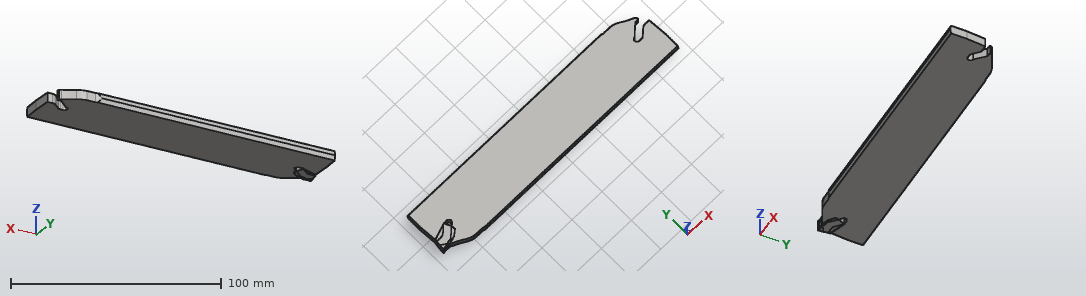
import cadquery as cq

length = 150.7
width = 30.58
blade_thickness = 5.0
insert_thickness = 6.0
ridge_depth = 0.5

end_x = length / 2
half_width = width / 2
half_blade = blade_thickness / 2
half_insert = insert_thickness / 2
margin = 1.0

end_taper_start_y = 6.5
lower_seat = (-74.55, -3.95)
lower_seat_arc_start = (-71.9, -3.95)
slot_upper_flank_top = (-69.6, -3.0)
slot_upper_flank_end = (-66.7, -0.3)
slot_floor = (-65.4, 0.1)
slot_end_radius = 1.5
slot_end_centre = (-64.0, -1.35)
jaw_seat_corner = (-68.95, -7.75)
jaw_inner_tip = (-71.4, -8.0)
jaw_nose_start = (-71.0, -9.1)
jaw_nose_end = (-70.2, -9.7)
jaw_bulge = (-67.1, -11.05)
jaw_inflection = (-63.9, -12.85)
jaw_flat_y = -14.45
jaw_flat_start_x = -59.0
jaw_flat_end_x = -54.3
runout_middle = (-52.9, -14.85)
runout_end_x = -51.0

insert_front_top = (-74.7, -2.95)
insert_back_top = (-66.1, 0.0)
insert_back_upper = (-64.4, -3.3)
insert_back_lower = (-64.2, -5.7)
insert_back_bottom = (-67.0, -7.9)
insert_heel = (-71.0, -9.2)
cutting_edge_y = -9.3
shoulder_start = (-72.4, -9.0)
rake_middle = (-73.9, -9.0)
corner_facet_front = (-75.1, -6.4)
corner_facet_back = (-71.0, -9.1)
body_relief = 0.15

chip_groove_width = 4.0
chip_groove_start_x = -74.9
chip_groove_end_x = -72.6
chip_groove_wall_depth = 0.3
chip_groove_depth = 0.5
chip_notch_radius = 0.8
chip_notch_end_x = -71.5


def half_turn(point):
    return (-point[0], -point[1])


def trace_blade_end(outline, place):
    """Trace the slotted end from the end face to the run-out on the long edge."""
    slot_end_top = (slot_end_centre[0], slot_end_centre[1] + slot_end_radius)
    slot_end_side = (slot_end_centre[0] + slot_end_radius, slot_end_centre[1])
    slot_end_bottom = (slot_end_centre[0], slot_end_centre[1] - slot_end_radius)
    return (
        outline
        .lineTo(*place((-end_x, end_taper_start_y)))
        .lineTo(*place(lower_seat))
        .lineTo(*place(lower_seat_arc_start))
        .tangentArcPoint(place(slot_upper_flank_top), relative=False)
        .lineTo(*place(slot_upper_flank_end))
        .tangentArcPoint(place(slot_floor), relative=False)
        .lineTo(*place(slot_end_top))
        .threePointArc(place(slot_end_side), place(slot_end_bottom))
        .lineTo(*place(jaw_seat_corner))
        .lineTo(*place(jaw_inner_tip))
        .lineTo(*place(jaw_nose_start))
        .lineTo(*place(jaw_nose_end))
        .threePointArc(place(jaw_bulge), place(jaw_inflection))
        .tangentArcPoint(place((jaw_flat_start_x, jaw_flat_y)), relative=False)
        .lineTo(*place((jaw_flat_end_x, jaw_flat_y)))
        .threePointArc(place(runout_middle), place((runout_end_x, -half_width)))
    )


def make_blade():
    outline = cq.Workplane("XY").workplane(offset=-half_blade).moveTo(-end_x, half_width)
    outline = trace_blade_end(outline, lambda point: point)
    outline = outline.lineTo(end_x, -half_width)
    outline = trace_blade_end(outline, half_turn)
    plate = outline.close().extrude(blade_thickness)
    shoulder_y = half_width - ridge_depth
    section = (
        cq.Workplane("YZ").workplane(offset=-end_x - margin)
        .polyline([
            (-shoulder_y, -half_blade), (shoulder_y, -half_blade), (half_width, 0),
            (shoulder_y, half_blade), (-shoulder_y, half_blade), (-half_width, 0),
        ])
        .close().extrude(length + 2 * margin)
    )
    return plate.intersect(section)


def make_insert_body():
    return (
        cq.Workplane("XY").workplane(offset=-half_insert)
        .moveTo(*insert_front_top)
        .lineTo(*insert_back_top)
        .lineTo(*insert_back_upper)
        .lineTo(*insert_back_lower)
        .lineTo(*insert_back_bottom)
        .lineTo(*insert_heel)
        .lineTo(*shoulder_start)
        .threePointArc(rake_middle, (-end_x, cutting_edge_y))
        .lineTo(*corner_facet_front)
        .close().extrude(insert_thickness)
    )


def make_side_relief(side):
    """Thin layer over one side of the insert, leaving out the corner at the cutting edge."""
    left = -end_x - margin
    right = insert_back_lower[0] + margin
    top = insert_back_top[1] + margin
    bottom = cutting_edge_y - margin
    return (
        cq.Workplane("XY").workplane(offset=side * (half_insert - body_relief))
        .moveTo(left, top)
        .lineTo(right, top)
        .lineTo(right, bottom)
        .lineTo(corner_facet_back[0], bottom)
        .lineTo(*corner_facet_back)
        .lineTo(*corner_facet_front)
        .lineTo(left, corner_facet_front[1])
        .close().extrude(side * margin)
    )


def make_chip_groove():
    middle_x = (chip_groove_start_x + chip_groove_end_x) / 2
    wall_y = rake_middle[1] + chip_groove_wall_depth
    floor_y = rake_middle[1] + chip_groove_depth
    bottom = cutting_edge_y - margin
    return (
        cq.Workplane("XY").workplane(offset=-chip_groove_width / 2)
        .moveTo(chip_groove_start_x, bottom)
        .lineTo(chip_groove_start_x, wall_y)
        .threePointArc((middle_x, floor_y), (chip_groove_end_x, wall_y))
        .lineTo(chip_groove_end_x, bottom)
        .close().extrude(chip_groove_width)
    )


def make_chip_notch():
    return (
        cq.Workplane("YZ").workplane(offset=chip_groove_end_x)
        .center(insert_heel[1], 0)
        .circle(chip_notch_radius)
        .extrude(chip_notch_end_x - chip_groove_end_x)
    )


def make_insert(blade_body):
    body = make_insert_body()
    for side in (-1, 1):
        body = body.cut(make_side_relief(side))
    body = body.cut(make_chip_groove()).cut(make_chip_notch())
    return body.cut(blade_body)


blade = make_blade()
insert = make_insert(blade)
result = cq.Compound.makeCompound([blade.val(), *insert.vals()])